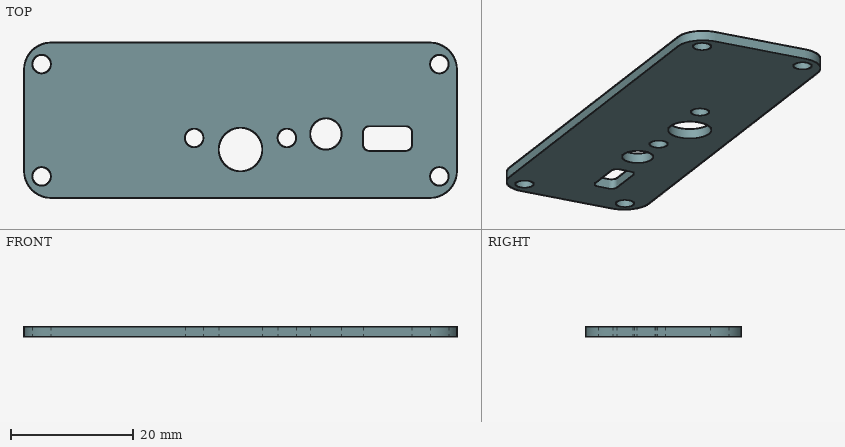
import cadquery as cq

LENGTH = 71.02
WIDTH = 25.52
THICKNESS = 1.69
CORNER_RADIUS = 4.5

MOUNT_DIAMETER = 3.0
MOUNT_SPACING_X = 65.2
MOUNT_SPACING_Y = 18.4

LARGE_DIAMETER = 7.1
LARGE_CENTER = (0, -4.8)
SMALL_DIAMETER = 3.0
SMALL_SPACING = 15.2
SMALL_Y = -2.9

MEDIUM_DIAMETER = 5.1
MEDIUM_CENTER = (14.0, -2.25)

SLOT_LENGTH = 8.0
SLOT_WIDTH = 4.0
SLOT_CORNER_RADIUS = 1.0
SLOT_CENTER = (24.1, -3.0)


def rounded_block(length, width, corner_radius):
    """Block of plate thickness, centred on the origin in X and Y, with rounded vertical edges."""
    block = cq.Workplane("XY").box(length, width, THICKNESS, centered=(True, True, False))
    return block.edges("|Z").fillet(corner_radius)


def through_holes(centers, diameter):
    """Cylinders of plate thickness at the given centres."""
    return cq.Workplane("XY").pushPoints(centers).circle(diameter / 2).extrude(THICKNESS)


mount_centers = [
    (side_x * MOUNT_SPACING_X / 2, side_y * MOUNT_SPACING_Y / 2)
    for side_x in (-1, 1)
    for side_y in (-1, 1)
]
small_centers = [(LARGE_CENTER[0] + side * SMALL_SPACING / 2, SMALL_Y) for side in (-1, 1)]
slot = rounded_block(SLOT_LENGTH, SLOT_WIDTH, SLOT_CORNER_RADIUS).translate((*SLOT_CENTER, 0))

plate = rounded_block(LENGTH, WIDTH, CORNER_RADIUS)
plate = plate.cut(through_holes(mount_centers, MOUNT_DIAMETER))
plate = plate.cut(through_holes([LARGE_CENTER], LARGE_DIAMETER))
plate = plate.cut(through_holes(small_centers, SMALL_DIAMETER))
plate = plate.cut(through_holes([MEDIUM_CENTER], MEDIUM_DIAMETER))
result = plate.cut(slot)